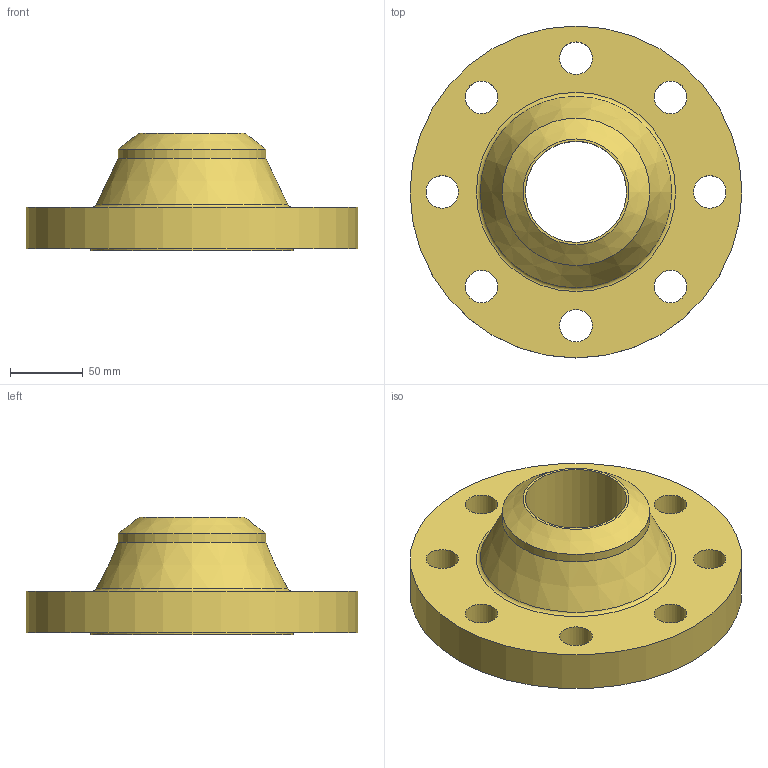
import cadquery as cq
import math


flange_diameter = 228.6
flange_thickness = 30.2
raised_face_diameter = 139.7
raised_face_height = 1.6

overall_height = 81.09
hub_base_diameter = 133.4
hub_fillet_radius = 3.0
neck_diameter = 101.6
neck_length = 6.3
bore_diameter = 69.6
weld_land_width = 1.6
weld_bevel_angle = 37.5

bolt_count = 8
bolt_circle_diameter = 184.2
bolt_hole_diameter = 22.4

flange_radius = flange_diameter / 2
raised_face_radius = raised_face_diameter / 2
hub_base_radius = hub_base_diameter / 2
neck_radius = neck_diameter / 2
bore_radius = bore_diameter / 2
land_radius = bore_radius + weld_land_width
bevel_height = (neck_radius - land_radius) * math.tan(math.radians(weld_bevel_angle))
neck_top = overall_height - bevel_height
neck_bottom = neck_top - neck_length


def flange_body():
    """Revolve plate, raised face, hub and bore as one profile in the XZ plane."""
    profile = (
        cq.Workplane("XZ")
        .moveTo(bore_radius, 0)
        .lineTo(raised_face_radius, 0)
        .lineTo(raised_face_radius, raised_face_height)
        .lineTo(flange_radius, raised_face_height)
        .lineTo(flange_radius, flange_thickness)
        .lineTo(hub_base_radius, flange_thickness)
        .lineTo(neck_radius, neck_bottom)
        .lineTo(neck_radius, neck_top)
        .lineTo(land_radius, overall_height)
        .lineTo(bore_radius, overall_height)
        .close()
    )
    return profile.revolve(360, (0, 0, 0), (0, 1, 0))


def fillet_hub_base(body):
    """Round the inner corner between the hub cone and the plate."""
    circular_edges = body.edges("%CIRCLE")
    hub_corner = circular_edges.filter(lambda edge: math.isclose(edge.radius(), hub_base_radius))
    return hub_corner.fillet(hub_fillet_radius)


def bolt_holes():
    """Cylinders through the plate, the first one on the +X axis."""
    return (
        cq.Workplane("XY")
        .polarArray(bolt_circle_diameter / 2, 0, 360, bolt_count)
        .circle(bolt_hole_diameter / 2)
        .extrude(flange_thickness)
    )


result = fillet_hub_base(flange_body()).cut(bolt_holes())